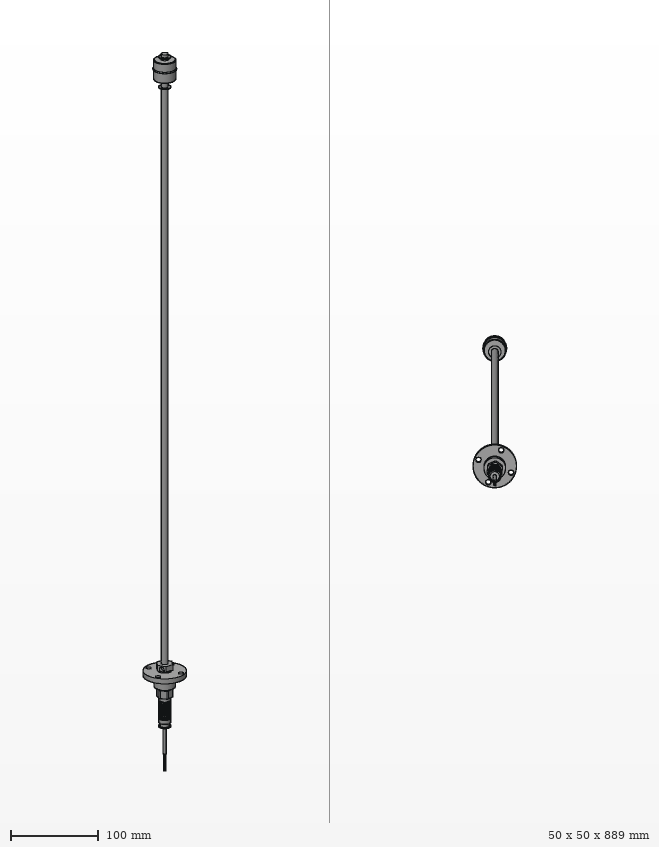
import cadquery as cq
import math

total_length = 889.0

stem_diameter = 8.0

float_diameter = 26.0
float_height = 25.0
float_bottom = 857.0
float_bore = 8.5
float_chamfer = 1.0
bead_diameter = 27.5
bead_radius = (bead_diameter - float_diameter) / 2
bead_offset = 1.0

ring_diameter = 14.0
ring_thickness = 1.0
ring_bottoms = (847.0, 884.0)

flange_diameter = 50.0
flange_thickness = 6.0
flange_bottom = 118.0
flange_top = flange_bottom + flange_thickness
hub_height = 7.0
hub_neck_diameter = 16.0
hub_neck_height = 2.0
hub_bottom = flange_top + hub_neck_height
hub_top = hub_bottom + hub_height
hub_across_flats = 18.0
set_screw_diameter = 6.0
set_screw_height = 3.0
socket_diameter = 25.0
socket_bottom = 105.0
relief_diameter = 24.0
relief_height = 3.0
bolt_hole_diameter = 6.0
bolt_circle_diameter = 40.0
bolt_count = 4

gland_diameter = 14.0
nut_across_flats = 17.0
nut_corner_diameter = 19.0
nut_turn = 15.0
nut_top = 102.0
nut_height = 10.0
groove_diameter = 11.0
groove_width = 1.3
groove_pitch = 3.0
groove_count = 9
first_groove_top = 88.0
end_groove_top = 60.0
end_groove_width = 4.0
gland_bottom = 55.0

cable_diameter = 4.0
cable_bottom = 21.0
wire_diameter = 1.4
wire_spacing = 2.0


def disc(diameter, bottom, height):
    """Solid cylinder about Z standing on the level `bottom`."""
    return cq.Workplane("XY").workplane(offset=bottom).circle(diameter / 2).extrude(height)


def tube(outer, inner, bottom, height):
    """Hollow cylinder about Z standing on the level `bottom`."""
    return cq.Workplane("XY").workplane(offset=bottom).circle(outer / 2).circle(inner / 2).extrude(height)


def hexagon(across_flats, bottom, height):
    """Hexagonal prism about Z with a corner on +X."""
    across_corners = across_flats / math.cos(math.radians(30))
    return cq.Workplane("XY").workplane(offset=bottom).polygon(6, across_corners).extrude(height)


def make_stem():
    return disc(stem_diameter, socket_bottom, total_length - socket_bottom)


def make_float():
    """Float with chamfered rims and a half-round bead around it."""
    inner = float_bore / 2
    outer = float_diameter / 2
    top = float_bottom + float_height
    bead_middle = float_bottom + float_height / 2 + bead_offset
    profile = (
        cq.Workplane("XZ")
        .moveTo(inner, float_bottom)
        .lineTo(outer - float_chamfer, float_bottom)
        .lineTo(outer, float_bottom + float_chamfer)
        .lineTo(outer, bead_middle - bead_radius)
        .threePointArc((outer + bead_radius, bead_middle), (outer, bead_middle + bead_radius))
        .lineTo(outer, top - float_chamfer)
        .lineTo(outer - float_chamfer, top)
        .lineTo(inner, top)
        .close()
    )
    return profile.revolve(360, (0, 0, 0), (0, 1, 0))


def make_retaining_ring(bottom):
    return tube(ring_diameter, stem_diameter, bottom, ring_thickness)


def make_flange():
    """Necked hub, disc with bolt holes and socket in one piece, bored for the stem."""
    hub = hexagon(hub_across_flats, hub_bottom, hub_height)
    hub_neck = disc(hub_neck_diameter, flange_top, hub_neck_height)
    plate = disc(flange_diameter, flange_bottom, flange_thickness)
    bolt_holes = (
        cq.Workplane("XY")
        .workplane(offset=flange_bottom)
        .polarArray(bolt_circle_diameter / 2, 0, 360, bolt_count)
        .circle(bolt_hole_diameter / 2)
        .extrude(flange_thickness)
    )
    set_screw_hole = (
        cq.Workplane("XZ")
        .center(0, hub_bottom + set_screw_height)
        .circle(set_screw_diameter / 2)
        .extrude(hub_across_flats / 2)
    )
    socket_top = flange_bottom - relief_height
    relief = disc(relief_diameter, socket_top, relief_height)
    socket = disc(socket_diameter, socket_bottom, socket_top - socket_bottom)
    bore = disc(stem_diameter, socket_bottom, hub_top - socket_bottom)
    fitting = plate.cut(bolt_holes).union(hub_neck).union(hub).union(relief).union(socket)
    return fitting.cut(set_screw_hole).cut(bore)


def cut_groove(gland, top, width):
    """Cut a ring groove into the sleeve, downwards from the level `top`."""
    return gland.cut(tube(gland_diameter, groove_diameter, top - width, width))


def make_gland():
    """Grooved sleeve with a hexagon nut, bored for the cable."""
    sleeve_height = socket_bottom - gland_bottom
    gland = disc(gland_diameter, gland_bottom, sleeve_height)
    nut_bottom = nut_top - nut_height
    nut = hexagon(nut_across_flats, nut_bottom, nut_height).rotate((0, 0, 0), (0, 0, 1), nut_turn)
    gland = gland.union(nut.intersect(disc(nut_corner_diameter, nut_bottom, nut_height)))
    for index in range(groove_count):
        gland = cut_groove(gland, first_groove_top - index * groove_pitch, groove_width)
    gland = cut_groove(gland, end_groove_top, end_groove_width)
    return gland.cut(disc(cable_diameter, gland_bottom, sleeve_height))


def make_cable():
    return disc(cable_diameter, cable_bottom, socket_bottom - cable_bottom)


def make_wire(x):
    return disc(wire_diameter, 0.0, cable_bottom).translate((x, 0, 0))


stem = make_stem()
float_body = make_float()
retaining_rings = [make_retaining_ring(bottom) for bottom in ring_bottoms]
flange = make_flange()
gland = make_gland()
cable = make_cable()
wires = [make_wire(side * wire_spacing / 2) for side in (-1, 1)]

result = cq.Compound.makeCompound(
    [
        stem.val(),
        float_body.val(),
        *[ring.val() for ring in retaining_rings],
        flange.val(),
        gland.val(),
        cable.val(),
        *[wire.val() for wire in wires],
    ]
)